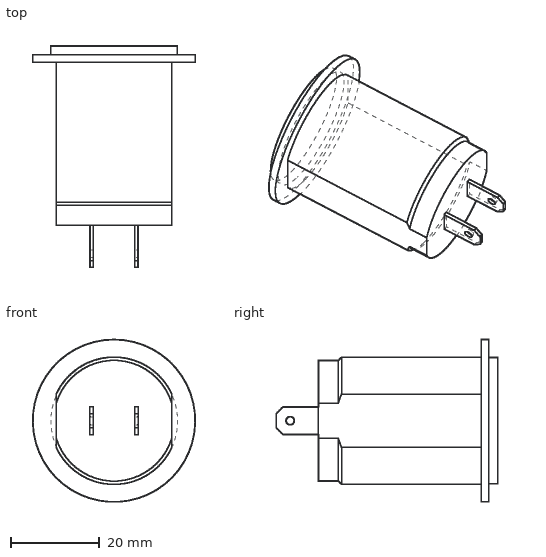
import cadquery as cq

total_length = 50
cap_length = 2
flange_thickness = 1.75
barrel_length = 31.5
shoulder_length = 0.75
terminal_length = 9.5
collar_length = (
    total_length - cap_length - flange_thickness - barrel_length - shoulder_length - terminal_length
)

cap_diameter = 28.6
flange_diameter = 36.7
barrel_diameter = 28.75
collar_diameter = 27.25
width_across_flats = 26.1

terminal_spacing = 10.1
terminal_thickness = 0.8
terminal_height = 6.3
terminal_corner_chamfer = 1.55
terminal_hole_diameter = 1.8
terminal_hole_to_tip = 3.15

flange_front = flange_thickness
cap_front = flange_front + cap_length
shoulder_start = -barrel_length
collar_start = shoulder_start - shoulder_length
collar_end = collar_start - collar_length
terminal_tip = collar_end - terminal_length


def disc(diameter, start, end):
    """Cylinder on the Y axis between two Y positions."""
    return (
        cq.Workplane("ZX", origin=(0, start, 0))
        .circle(diameter / 2)
        .extrude(end - start)
    )


def make_body():
    """Barrel, conical shoulder and collar, with a flat down each side."""
    barrel_radius = barrel_diameter / 2
    collar_radius = collar_diameter / 2
    turned = (
        cq.Workplane("YZ")
        .moveTo(0, 0)
        .lineTo(0, barrel_radius)
        .lineTo(shoulder_start, barrel_radius)
        .lineTo(collar_start, collar_radius)
        .lineTo(collar_end, collar_radius)
        .lineTo(collar_end, 0)
        .close()
        .revolve(360, (0, 0, 0), (1, 0, 0))
    )
    between_flats = (
        cq.Workplane("XY")
        .box(width_across_flats, -collar_end, barrel_diameter)
        .translate((0, collar_end / 2, 0))
    )
    return turned.intersect(between_flats)


def make_terminal(x_center):
    """Blade with chamfered tip corners and a cross hole."""
    blade = (
        cq.Workplane("XY")
        .box(terminal_thickness, terminal_length, terminal_height)
        .translate((x_center, (collar_end + terminal_tip) / 2, 0))
        .faces("<Y")
        .edges("|X")
        .chamfer(terminal_corner_chamfer)
    )
    hole = (
        cq.Workplane("YZ", origin=(x_center, terminal_tip + terminal_hole_to_tip, 0))
        .circle(terminal_hole_diameter / 2)
        .extrude(terminal_thickness, both=True)
    )
    return blade.cut(hole)


cap = disc(cap_diameter, flange_front, cap_front)
flange = disc(flange_diameter, 0, flange_front)
result = cap.union(flange).union(make_body())
for side in (-1, 1):
    result = result.union(make_terminal(side * terminal_spacing / 2))